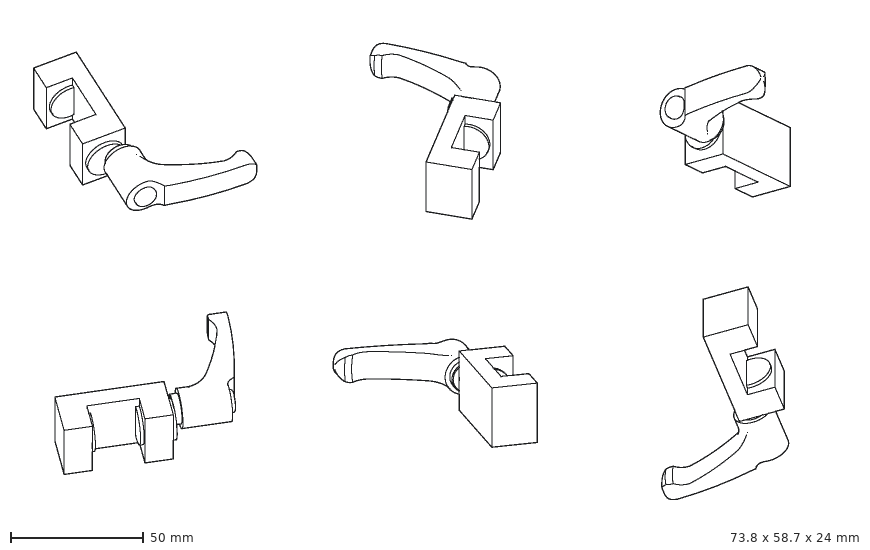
import cadquery as cq
import math


block_length = 42.1
block_depth = 18.0
block_height = 24.0
block_back = 3.7
slot_width = 20.2
web_thickness = 7.0
pad_diameter = 16.0
pad_center_y = -5.0
pad_protrusion = 1.4
flange_thickness = 1.8

neck_diameter = 11.8
neck_length = 3.25
neck_chamfer = 0.4
hub_radius = 7.75
hub_length = 19.2
button_diameter = 8.9
button_length = 2.0
button_fillet = 1.1

neck_start = block_length + flange_thickness
hub_start = neck_start + neck_length
hub_end = hub_start + hub_length

arm_end_x = 73.8
arm_tip_y = 44.4
arm_half_width = 5.5
flare_top_y = 8.7
notch_start_y = 2.0
notch_mid = (67.5, 4.7)
outer_lip = (69.7, 6.65)
outer_mid = (72.5, 21.8)
tip_round_y = arm_tip_y - arm_half_width
inner_start_x = 51.8
fillet_mid = (56.6, 9.15)
fillet_end = (59.8, 12.4)
inner_mid = (65.15, 23.3)
grip_start = (68.25, 32.9)
grip_mid = (67.7, 36.45)
tip_bottom = (66.25, tip_round_y)
tip_side_y = 41.7
tip_rise_mid = (68.2, 43.6)
tip_top = (71.2, arm_tip_y)
tip_corner_mid = (73.05, 43.9)
tip_corner_y = 42.3

flare_radius = (arm_half_width**2 + flare_top_y**2 - hub_radius**2) / (2 * (hub_radius - arm_half_width))
flare_center = (arm_half_width + flare_radius, flare_top_y)
flare_angle = math.atan2(flare_top_y, flare_center[0])
flare_end = (hub_radius * math.cos(flare_angle), hub_radius * math.sin(flare_angle))
flare_mid_angle = flare_angle / 2
flare_mid = (
    flare_center[0] - flare_radius * math.cos(flare_mid_angle),
    flare_center[1] - flare_radius * math.sin(flare_mid_angle),
)


def cylinder(x_start, length, diameter, y=0):
    """Solid cylinder parallel to X."""
    return cq.Workplane("YZ", origin=(x_start, y, 0)).circle(diameter / 2).extrude(length)


def make_clamp():
    """U-shaped block with a raised pad on each jaw and a flange on the lever side."""
    block_front = block_back - block_depth
    slot_start = (block_length - slot_width) / 2
    slot_end = slot_start + slot_width
    slot_depth = block_depth - web_thickness

    block = cq.Workplane("XY").box(block_length, block_depth, block_height, centered=(False, False, True))
    block = block.translate((0, block_front, 0))
    slot = cq.Workplane("XY").box(slot_width, slot_depth, block_height, centered=(False, False, True))
    clamp = block.cut(slot.translate((slot_start, block_front, 0)))

    for pad_start in (slot_start, slot_end - pad_protrusion):
        clamp = clamp.union(cylinder(pad_start, pad_protrusion, pad_diameter, pad_center_y))
    return clamp.union(cylinder(block_length, flange_thickness, pad_diameter, pad_center_y))


def make_arm_section():
    """Round-ended arm flaring out to the hub surface, extruded along X."""
    (z_mid, y_mid) = flare_mid
    (z_end, y_end) = flare_end
    section = (
        cq.Workplane("YZ", origin=(inner_start_x, 0, 0))
        .moveTo(tip_round_y, arm_half_width)
        .threePointArc((arm_tip_y, 0), (tip_round_y, -arm_half_width))
        .lineTo(flare_top_y, -arm_half_width)
        .threePointArc((y_mid, -z_mid), (y_end, -z_end))
        .lineTo(0, 0)
        .lineTo(y_end, z_end)
        .threePointArc((y_mid, z_mid), (flare_top_y, arm_half_width))
        .close()
    )
    return section.extrude(arm_end_x - inner_start_x)


def make_inner_envelope():
    """Curved inner side of the arm, turned about the hub axis."""
    return (
        cq.Workplane("XY")
        .moveTo(inner_start_x, 0)
        .lineTo(inner_start_x, hub_radius)
        .threePointArc(fillet_mid, fillet_end)
        .threePointArc(inner_mid, grip_start)
        .threePointArc(grip_mid, tip_bottom)
        .lineTo(tip_bottom[0], tip_side_y)
        .threePointArc(tip_rise_mid, tip_top)
        .threePointArc(tip_corner_mid, (arm_end_x, tip_corner_y))
        .lineTo(arm_end_x, 0)
        .close()
        .revolve(360, (0, 0, 0), (1, 0, 0))
    )


def make_outer_envelope():
    """Bowed outer side of the arm and the notch above the button, straight along Z."""
    return (
        cq.Workplane("XY")
        .moveTo(hub_start, -hub_radius)
        .lineTo(hub_end, -hub_radius)
        .lineTo(hub_end, notch_start_y)
        .threePointArc(notch_mid, outer_lip)
        .threePointArc(outer_mid, (arm_end_x, tip_round_y))
        .lineTo(arm_end_x, arm_tip_y)
        .lineTo(hub_start, arm_tip_y)
        .close()
        .extrude(hub_radius, both=True)
    )


def make_lever():
    """Arm and hub with the neck against the clamp and the button at the free end."""
    arm = make_arm_section().intersect(make_inner_envelope())
    hub = cylinder(hub_start, arm_end_x - hub_start, 2 * hub_radius)
    lever = arm.union(hub).intersect(make_outer_envelope())
    neck = cylinder(neck_start, neck_length, neck_diameter).faces("<X").chamfer(neck_chamfer)
    button = cylinder(hub_end, button_length, button_diameter).faces(">X").edges().fillet(button_fillet)
    return lever.union(neck).union(button)


clamp = make_clamp()
lever = make_lever()

result = cq.Compound.makeCompound([clamp.val(), lever.val()])